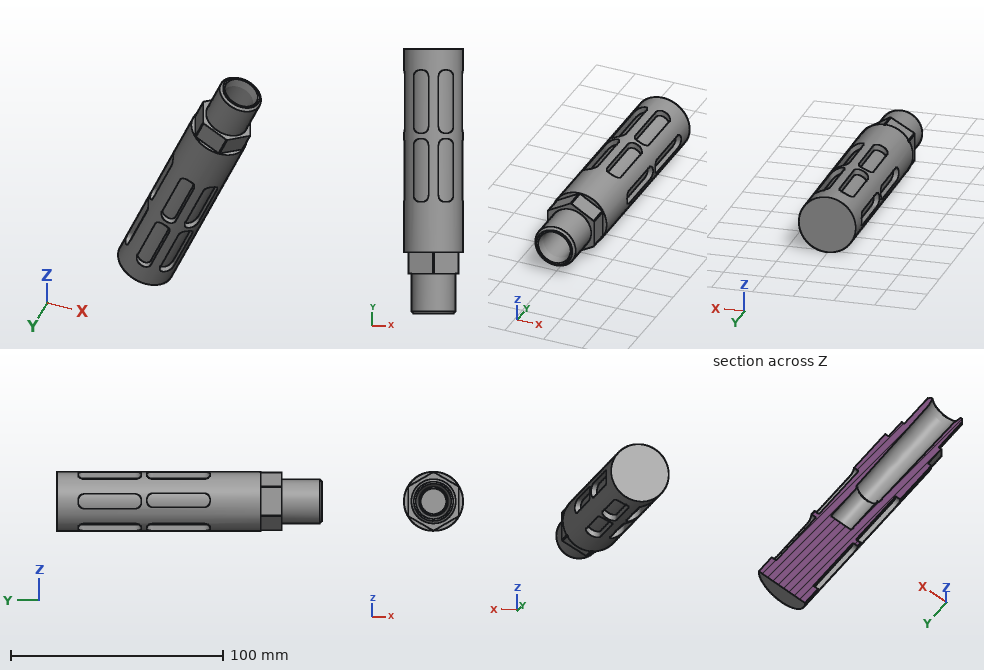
import cadquery as cq
import math

overall_length = 125.0
body_diameter = 28.0
body_length = 96.0
hex_sides = 6
hex_across_flats = 24.0
hex_corner_diameter = 27.4
hex_length = 10.0
stub_diameter = 20.95
stub_chamfer = 1.2

mouth_diameter = 16.7
bore_start_diameter = 15.0
bore_end_diameter = 13.6
mouth_depth = 4.0
bore_depth = 60.0
blind_diameter = 12.0
blind_depth = 20.0

slot_floor_diameter = 22.5
slot_length = 29.8
slot_width = 7.0
slot_corner_radius = 3.0
slot_end_margin = 10.0
slot_gap = 2.6
slot_side_offset = 5.85

front_side_slot_width = 6.7
front_side_slot_rise = 0.5

tip_y = -overall_length / 2
back_y = overall_length / 2
body_front_y = back_y - body_length
hex_front_y = body_front_y - hex_length
stub_length = hex_front_y - tip_y
rear_slot_y = back_y - slot_end_margin - slot_length / 2
front_slot_y = rear_slot_y - slot_length - slot_gap


def plane_at(y):
    """Plane across the axis at position y, with its normal along +Y."""
    return cq.Plane(origin=(0, y, 0), xDir=(1, 0, 0), normal=(0, 1, 0))


def cylinder(start_y, diameter, length):
    return cq.Workplane(plane_at(start_y)).circle(diameter / 2).extrude(length)


def make_hexagon():
    """Wrench hexagon, flats facing +X and -X, with its sharp corners turned down."""
    circumdiameter = hex_across_flats / math.cos(math.pi / hex_sides)
    hexagon = cq.Workplane(plane_at(hex_front_y)).polygon(hex_sides, circumdiameter).extrude(hex_length)
    corner_to_flat_angle = 180 / hex_sides
    hexagon = hexagon.rotate((0, 0, 0), (0, 1, 0), corner_to_flat_angle)
    return hexagon.intersect(cylinder(hex_front_y, hex_corner_diameter, hex_length))


def make_stub():
    stub = cylinder(tip_y, stub_diameter, stub_length)
    return stub.faces("<Y").chamfer(stub_chamfer)


def make_bore():
    """Blind bore from the tip, revolved about the Y axis."""
    mouth_end_y = tip_y + mouth_depth
    bore_end_y = tip_y + bore_depth
    blind_end_y = bore_end_y + blind_depth
    profile = (
        cq.Workplane("XY")
        .moveTo(0, tip_y)
        .lineTo(mouth_diameter / 2, tip_y)
        .lineTo(bore_start_diameter / 2, mouth_end_y)
        .lineTo(bore_end_diameter / 2, bore_end_y)
        .lineTo(blind_diameter / 2, bore_end_y)
        .lineTo(blind_diameter / 2, blind_end_y)
        .lineTo(0, blind_end_y)
        .close()
    )
    return profile.revolve(360, (0, 0, 0), (0, 1, 0))


def slot_bar(width, y):
    """Upright bar with rounded corners, longer than the body is thick."""
    bar = cq.Workplane("XY").box(width, slot_length, 2 * body_diameter)
    return bar.edges("|Z").fillet(slot_corner_radius).translate((0, y, 0))


def upright_slots(y):
    """Pair of slots through top and bottom, one on each side of the middle."""
    bar = slot_bar(slot_width, y)
    return bar.translate((-slot_side_offset, 0, 0)).union(bar.translate((slot_side_offset, 0, 0)))


def side_slot(width, rise, y):
    """Slot through the +X and -X sides, raised above the axis by `rise`."""
    bar = slot_bar(width, y)
    return bar.rotate((0, 0, 0), (0, 1, 0), 90).translate((0, 0, rise))


def make_slots():
    """All wall slots, stopping at the cylindrical core."""
    slots = side_slot(slot_width, 0, rear_slot_y)
    slots = slots.union(side_slot(front_side_slot_width, front_side_slot_rise, front_slot_y))
    for y in (rear_slot_y, front_slot_y):
        slots = slots.union(upright_slots(y))
    return slots.cut(cylinder(body_front_y, slot_floor_diameter, body_length))


body = cylinder(body_front_y, body_diameter, body_length)
result = body.cut(make_slots()).union(make_hexagon()).union(make_stub()).cut(make_bore())